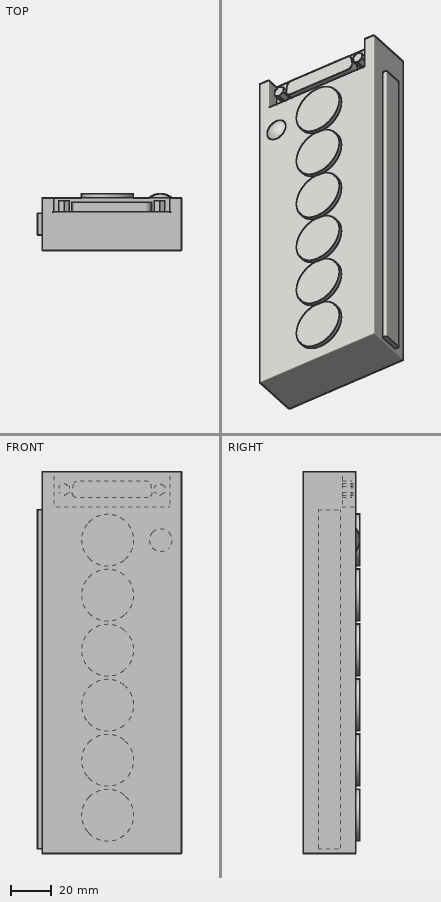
import cadquery as cq
import math

length = 188.5
total_width = 71.0
total_depth = 28.0
knob_height = 2.0
rail_height = 2.3
edge_round = 0.47
body_width = total_width - rail_height
body_depth = total_depth - knob_height
body_left = rail_height
body_center_x = body_left + body_width / 2

rail_bottom = 2.3
rail_top = 169.6
rail_y_start = 7.5
rail_y_end = 18.5

knob_count = 6
knob_diameter = 25.6
knob_x = 34.5
knob_first_z = 19.0
knob_pitch = 27.1

lamp_diameter = 11.1
lamp_x = 60.7
lamp_z = knob_first_z + (knob_count - 1) * knob_pitch

pocket_width = 57.3
pocket_length = 17.3
pocket_depth = 6.8
pocket_corner_radius = 0.8
pocket_floor_y = body_depth - pocket_depth
connector_z = length - pocket_length / 2

shell_width = 40.5
shell_tall = 8.3
shell_side_angle = 10.0
shell_corner_radius = 2.6
shell_height = 4.5
standoff_spacing = 47.1
standoff_across_flats = 5.0
standoff_height = 5.3


def control_face_plane(x, y, z):
    """Plane facing +Y with its local vertical along +Z."""
    return cq.Workplane(cq.Plane(origin=(x, y, z), xDir=(-1, 0, 0), normal=(0, 1, 0)))


def make_body():
    body = cq.Workplane("XY").box(body_width, body_depth, length, centered=False)
    pocket = cq.Workplane("XY").box(pocket_width, pocket_depth, pocket_length, centered=False)
    pocket = pocket.edges("|Y and <Z").fillet(pocket_corner_radius)
    pocket_left = (body_width - pocket_width) / 2
    body = body.cut(pocket.translate((pocket_left, pocket_floor_y, length - pocket_length)))
    body = body.faces("<X or >X or <Y or >Y or >Z or <Z").edges().fillet(edge_round)
    return body.translate((body_left, 0, 0))


def make_rail():
    rail = cq.Workplane("XY").box(
        2 * rail_height, rail_y_end - rail_y_start, rail_top - rail_bottom, centered=False
    )
    rail = rail.edges("<X and |Z").fillet(edge_round)
    return rail.translate((0, rail_y_start, rail_bottom))


def make_knob(z):
    return control_face_plane(knob_x, body_depth, z).circle(knob_diameter / 2).extrude(knob_height)


def make_lamp():
    """Spherical cap as tall as the knobs."""
    lamp_radius = lamp_diameter / 2
    sphere_radius = (lamp_radius**2 + knob_height**2) / (2 * knob_height)
    sphere = cq.Workplane("XY").sphere(sphere_radius)
    return sphere.translate((lamp_x, total_depth - sphere_radius, lamp_z))


def make_connector():
    half_bottom = shell_width / 2
    half_top = half_bottom - shell_tall * math.tan(math.radians(shell_side_angle))
    half_tall = shell_tall / 2
    outline = [
        (-half_bottom, -half_tall),
        (half_bottom, -half_tall),
        (half_top, half_tall),
        (-half_top, half_tall),
    ]
    floor = control_face_plane(body_center_x, pocket_floor_y, connector_z)
    shell = floor.polyline(outline).close().extrude(shell_height)
    shell = shell.edges("|Y").fillet(shell_corner_radius)

    corner_radius = standoff_across_flats / 2 / math.cos(math.radians(30))
    corner_angles = [math.radians(90 + 60 * corner) for corner in range(6)]
    hexagon = [(corner_radius * math.cos(a), corner_radius * math.sin(a)) for a in corner_angles]
    connector = shell
    for side in (-1, 1):
        center = floor.center(side * standoff_spacing / 2, 0)
        connector = connector.union(center.polyline(hexagon).close().extrude(standoff_height))
    return connector


result = make_body().union(make_rail()).union(make_connector()).union(make_lamp())
for knob_index in range(knob_count):
    result = result.union(make_knob(knob_first_z + knob_index * knob_pitch))